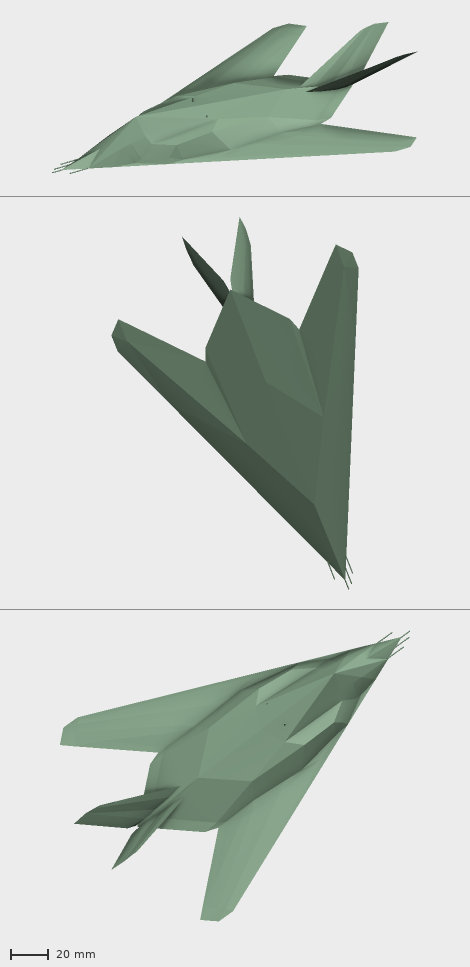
import cadquery as cq
import math


LENGTH = 211.2
HALF_SPAN = 68.12
NOSE_Y = -100.3
WING_TIP_Y = 63.8
LEADING_STRIP = 2.5
PROBE_RADIUS = 0.32
FIN_HALF_THICKNESS = 0.74
FIN_CANT = 38.0
ANTENNA_CHORD = 0.6
ANTENNA_THICKNESS = 0.5
STRIP_JOINTS_Y = [-39.0, -25.1, 26.0, 52.2, 60.6]
STRIP_TIP_Z = 0.2
STRIP_SLOPE = 0.006
SEATING_DEPTH = 1.0

FRONT_Y = -LENGTH / 2
REAR_Y = LENGTH / 2


def mirrored(point):
    return (-point[0], point[1], point[2])


def height_on_plane(a, b, c, x, y):
    """Z at (x, y) on the plane through three points."""
    normal = (cq.Vector(*b) - cq.Vector(*a)).cross(cq.Vector(*c) - cq.Vector(*a))
    return a[2] - (normal.x * (x - a[0]) + normal.y * (y - a[1])) / normal.z


def between(a, b, fraction):
    return tuple(p + fraction * (q - p) for p, q in zip(a, b))


def facet(points):
    """Four corners give a straight-ruled patch; any other number gives a flat polygon."""
    if len(points) == 4:
        a, b, c, d = [cq.Vector(*p) for p in points]
        return cq.Face.makeRuledSurface(cq.Edge.makeLine(a, b), cq.Edge.makeLine(d, c))
    return cq.Face.makeFromWires(cq.Wire.makePolygon([cq.Vector(*p) for p in points], close=True))


def solid_from(faces):
    """Sew facets into a closed solid; a corner may lie part-way along a neighbour's edge."""
    solid = cq.Solid.makeSolid(cq.Shell.makeShell(faces))
    return solid.fix()


def trimmed(fitting, airframe):
    """The part of a fitting that stands outside the airframe."""
    return max(fitting.cut(airframe).Solids(), key=lambda s: s.Volume())


def chine(y):
    """Point on the straight leading edge running from the nose to the wing tip."""
    return (HALF_SPAN * (y - NOSE_Y) / (WING_TIP_Y - NOSE_Y), y, 0.0)


def strip_edge(y):
    """Point on the straight inner edge of the leading-edge strip, which sinks towards the tip."""
    return (chine(y)[0] - LEADING_STRIP, y, STRIP_TIP_Z + STRIP_SLOPE * (STRIP_JOINTS_Y[-1] - y))


nose = chine(NOSE_Y)
nose_chine = chine(-87.0)
cheek_chine = chine(-74.8)
intake_chine = chine(-47.7)
tip_front = chine(WING_TIP_Y)
tip_side = (HALF_SPAN, 73.3, 0.0)
tip_rear = (61.5, 80.7, 0.0)
tip_inner = (56.5, 75.2, 0.0)
wing_trailing_root = (26.5, 41.8, 0.5)
tail_corner = (23.9, 49.2, 0.5)
spine_tail = (2.1, 73.5, 0.5)
tail_end = (0.0, 75.8, 0.5)

apex = (0.0, -55.3, 19.9)
ridge_middle = (0.0, -6.5, 14.0)
ridge_rear = (0.0, 35.3, 9.3)
deck_end = (0.0, 67.2, 2.3)
spine_corner = (2.3, 64.9, 1.7)
roof_edge = (12.7, -12.7, 12.5)
shoulder_front = (19.9, -20.3, 10.8)
shoulder_rear = (18.8, 13.7, 9.0)
deck_corner = (23.9, 41.0, 1.5)
deck_notch = between(deck_corner, spine_corner, 0.1)

WINDSCREEN_BASE_Y = -76.9
windscreen_base = (0.0, WINDSCREEN_BASE_Y,
                   apex[2] * (WINDSCREEN_BASE_Y - nose_chine[1]) / (apex[1] - nose_chine[1]))
cheek = (7.2, -68.2, 7.5)
brow_top = (7.5, -53.9, 11.6)
brow_front = (7.4, -62.5, 9.0)

intake_top_inner = (11.5, -52.0, 8.0)
intake_top_outer = (18.5, -41.0, 8.0)
intake_low_inner = (13.3, -59.1, 2.3)
intake_low_outer = (20.3, -46.3, 2.7)
cheek_base = (12.9, -63.4, 0.5)
intake_lip = between(intake_low_inner, cheek_base, 0.3)

side_rear = (26.0, 18.0, 2.3)
side_front = (27.7, -13.0, 1.7)
side_middle = between(side_front, side_rear, 0.4)

strip_inner = [strip_edge(y) for y in STRIP_JOINTS_Y]
strip_outer = [chine(y) for y in STRIP_JOINTS_Y[:-1]] + [tip_front]
intake_base, root_front = strip_inner[0], strip_inner[1]
strip_tip = strip_inner[-1]

root_spar = (30.5, 3.4, 1.7)
root_middle = (30.5, 22.4, 1.7)
root_rear = (29.8, 28.0, 1.5)
root_end = (26.2, 37.0, 0.6)
TIP_SPAR_X, TIP_SPAR_Y = 64.9, 66.0
tip_spar = (TIP_SPAR_X, TIP_SPAR_Y,
            height_on_plane(root_front, strip_tip, root_spar, TIP_SPAR_X, TIP_SPAR_Y))
tip_middle = (62.0, 69.7, 0.2)


def on_rear_panel(x, y):
    return (x, y, height_on_plane(tip_middle, root_middle, root_rear, x, y))


tip_flap = on_rear_panel(57.9, 72.9)
flap_joint = on_rear_panel(49.6, 61.7)

keel_front = (0.0, -52.8, -3.8)
keel_rear = (0.0, 21.1, -3.0)
BELLY_SIDE_X, BELLY_SIDE_Y = 21.8, -8.2
belly_side = (BELLY_SIDE_X, BELLY_SIDE_Y,
              height_on_plane(nose, tip_front, keel_front, BELLY_SIDE_X, BELLY_SIDE_Y))
tip_underside = (61.3, 67.5, -0.95)


def half_airframe_facets():
    nose_facets = [
        [nose, nose_chine, windscreen_base],
        [apex, nose_chine, cheek],
        [cheek, nose_chine, cheek_chine],
        [cheek, cheek_chine, cheek_base],
        [apex, cheek, brow_front, brow_top],
        [cheek, cheek_base, intake_lip, brow_front],
    ]
    canopy_and_roof = [
        [apex, brow_top, intake_top_inner, roof_edge],
        [apex, roof_edge, ridge_middle],
        [ridge_middle, roof_edge, shoulder_rear, ridge_rear],
        [roof_edge, shoulder_front, shoulder_rear],
        [ridge_rear, shoulder_rear, deck_corner, spine_corner],
        [spine_corner, deck_notch, tail_corner, spine_tail],
        [deck_notch, deck_corner, tail_corner],
        [ridge_rear, spine_corner, deck_end],
        [deck_end, spine_corner, spine_tail, tail_end],
    ]
    intake = [
        [roof_edge, intake_top_inner, intake_top_outer, shoulder_front],
        [intake_top_inner, intake_low_inner, intake_low_outer, intake_top_outer],
        [brow_top, brow_front, intake_low_inner, intake_top_inner],
        [brow_front, intake_lip, intake_low_inner],
        [intake_top_outer, intake_low_outer, intake_base],
        [intake_low_outer, intake_chine, intake_base],
        [intake_low_inner, cheek_base, intake_chine, intake_low_outer],
        [cheek_base, cheek_chine, intake_chine],
    ]
    sides = [
        [shoulder_front, intake_top_outer, intake_base, side_front],
        [shoulder_front, side_front, side_rear, shoulder_rear],
        [shoulder_rear, side_rear, root_end, deck_corner],
        [intake_base, root_front, side_front],
        [side_front, root_front, root_spar, side_middle],
        [side_middle, root_spar, root_middle, side_rear],
        [side_rear, root_middle, root_rear],
        [side_rear, root_rear, root_end],
        [deck_corner, root_end, wing_trailing_root, tail_corner],
    ]
    leading_strip = [[intake_base, intake_chine, strip_outer[0]]]
    for i in range(len(strip_inner) - 1):
        leading_strip.append([strip_inner[i], strip_outer[i], strip_outer[i + 1], strip_inner[i + 1]])
    wing_top = [
        [root_spar, *strip_inner[1:], tip_spar],
        [root_spar, tip_spar, tip_middle, root_middle],
        [root_middle, tip_middle, tip_flap, flap_joint, root_rear],
        [root_rear, flap_joint, root_end],
        [wing_trailing_root, root_end, flap_joint, tip_inner],
        [flap_joint, tip_flap, tip_inner],
        [tip_front, tip_spar, strip_tip],
        [tip_front, tip_side, tip_spar],
        [tip_side, tip_rear, tip_middle, tip_spar],
        [tip_rear, tip_inner, tip_flap, tip_middle],
    ]
    return nose_facets + canopy_and_roof + intake + sides + leading_strip + wing_top + underside()


def underside():
    front_panel = [keel_front, nose, nose_chine, cheek_chine, intake_chine, *strip_outer[:2], belly_side]
    facets = [front_panel, [keel_front, belly_side, keel_rear]]
    belly_fan = [*strip_outer[1:3], tip_underside, wing_trailing_root, tail_corner]
    facets += [[belly_side, a, b] for a, b in zip(belly_fan, belly_fan[1:])]
    facets += [
        [belly_side, tail_corner, spine_tail, keel_rear],
        [keel_rear, spine_tail, tail_end],
    ]
    tip_fan = [*strip_outer[2:], tip_side, tip_rear, tip_inner, wing_trailing_root]
    facets += [[tip_underside, a, b] for a, b in zip(tip_fan, tip_fan[1:])]
    return facets


def make_airframe():
    faces = [facet([apex, nose_chine, windscreen_base, mirrored(nose_chine)])]
    for points in half_airframe_facets():
        faces.append(facet(points))
        faces.append(facet([mirrored(p) for p in points]))
    return solid_from(faces)


def make_fin(airframe):
    """Thin canted fin: a faceted root tapering to a sharp tip edge."""
    cant = math.radians(FIN_CANT)
    offset = cq.Vector(math.cos(cant), 0, -math.sin(cant)) * FIN_HALF_THICKNESS
    root_leading = (3.0, 44.8, 6.1)
    root_trailing = (2.0, 81.0, 2.7)
    root_toe = (0.5, 39.7, 7.8)
    root_heel = (0.8, 76.0, 0.8)
    root_creases = [(2.1, 52.0, 3.5), (1.3, 60.8, 0.8), (1.5, 70.1, 1.5)]
    tip_leading = (16.3, 88.3, 20.5)
    tip_shoulder = (16.5, 91.9, 21.3)
    tip_peak = (17.0, 97.5, 21.8)
    tip_trailing = (16.3, REAR_Y, 20.7)

    faces = []
    skins = []
    for side in (-1, 1):
        front, middle, rear = [(cq.Vector(*p) + offset * side).toTuple() for p in root_creases]
        skins.append((front, middle, rear))
        faces += [facet(points) for points in (
            [root_leading, tip_leading, tip_shoulder, front],
            [front, tip_shoulder, tip_peak, middle],
            [middle, tip_peak, rear],
            [rear, tip_peak, tip_trailing, root_trailing],
            [rear, root_trailing, root_heel],
            [root_toe, root_leading, front])]
    inner, outer = skins
    faces.append(facet([root_toe, inner[0], outer[0]]))
    for i in range(len(root_creases) - 1):
        faces.append(facet([inner[i], inner[i + 1], outer[i + 1], outer[i]]))
    faces.append(facet([root_heel, inner[2], outer[2]]))
    return trimmed(solid_from(faces), airframe)


def make_probe(x, start_y, tip_y, airframe):
    forward = cq.Vector(0, -1, 0)
    rod = cq.Solid.makeCylinder(PROBE_RADIUS, start_y - tip_y, cq.Vector(x, start_y, 0), forward)
    return trimmed(rod, airframe)


def make_antenna(x, y, exposed_height, airframe):
    roof_z = height_on_plane(apex, roof_edge, ridge_middle, abs(x), y)
    height = exposed_height + SEATING_DEPTH
    corner = cq.Vector(x - ANTENNA_THICKNESS / 2, y - ANTENNA_CHORD / 2, roof_z - SEATING_DEPTH)
    blade = cq.Solid.makeBox(ANTENNA_THICKNESS, ANTENNA_CHORD, height, corner)
    return trimmed(blade, airframe)


airframe = make_airframe()
fin = make_fin(airframe)
fins = [fin, fin.mirror("YZ")]

PROBES = [(0.0, -99.7, FRONT_Y), (-2.5, -93.0, -103.3), (-5.0, -87.0, -97.8), (5.0, -87.0, -97.8)]
probes = [make_probe(x, start_y, tip_y, airframe) for x, start_y, tip_y in PROBES]

ANTENNAS = [(-5.7, -18.0, 2.5), (9.7, -18.0, 1.0)]
antennas = [make_antenna(x, y, exposed_height, airframe) for x, y, exposed_height in ANTENNAS]

result = cq.Compound.makeCompound([airframe, *fins, *probes, *antennas])